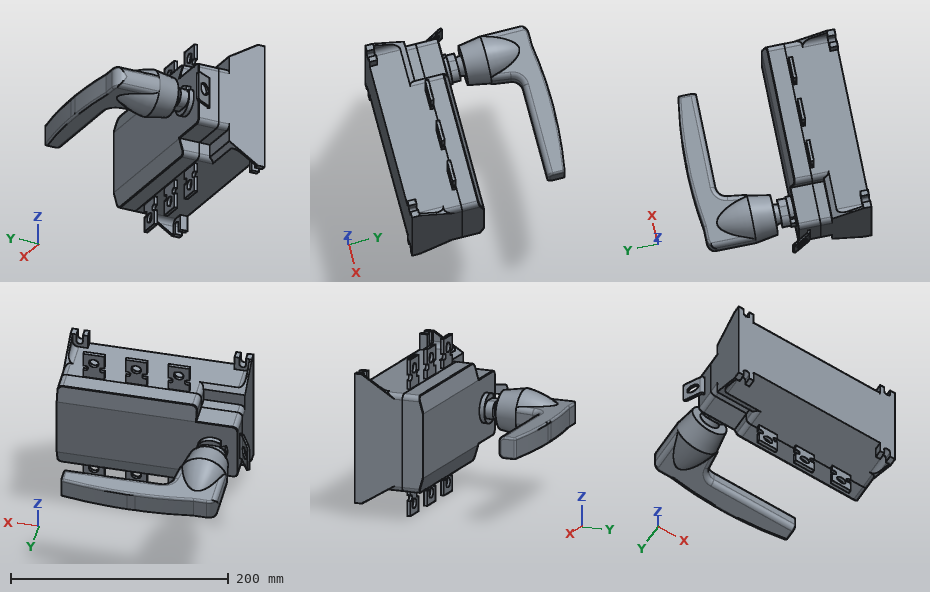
import cadquery as cq
import math


overall_length = 183.2
length = 170.5
half_length = length / 2
half_height = 46.5
split_y = 47.6
top_y = 68.5
corner_radius = 5.0

neck_length = 38.8
neck_half_height = 30.6
neck_x = -half_length + neck_length
shelf_y = 36.8

foot_half_height = 123.0 / 2
foot_length = 16.3
foot_thickness = 7.3
flare_slope = 0.62
end_wall = 2.0
end_wall_fillet = 5.5
flare_top_y = 44.0
slot_width = 6.0
slot_depth = 11.0
slot_inset = 8.6

bevel_height = 4.5
top_edge_chamfer = 0.5

terminal_width = 20.0
terminal_pitch = 40.0
middle_terminal_x = 14.8
terminal_half_span = 149.0 / 2
terminal_top_y = 46.9
terminal_thickness = 3.1
terminal_hole_diameter = 9.2
terminal_hole_z = 64.3
notch_width = 5.5
notch_depth = 4.4
notch_z = 57.3

tab_y = 57.7
tab_thickness = 2.0
tab_width = 29.0
tab_bend_angle = 61.0
tab_bend_radius = 5.0
tab_reach = overall_length - length
tab_corner_radius = 3.3
tab_hole_diameter = 11.7
tab_hole_from_bend = 7.1

axis_inset = 23.6
axis_x = -half_length + axis_inset
disc_radius = 28.4 / 2
disc_top_y = 73.3
disc_notch_x = 8.0
disc_notch_outer = (12.8, 6.5)
disc_notch_inner_z = 3.7
collar_top_y = 81.3
collar_radius = 8.6
collar_length = 26.2
shank_bottom_radius = 8.6
shank_top_radius = 10.0
hub_bottom_y = 86.8
hub_bottom_radius = 18.7
hub_y = 108.1
hub_radius = 22.4
dome_middle = (17.0, 127.2)
dome_end = (10.0, 140.7)
grip_half_thickness = 10.5
grip_shoulder_y = 152.5
grip_crown = (0.0, 156.7)
grip_end = (63.2, 151.0)
grip_underside_y = 134.5
grip_bend_radius = 10.0
leg_top_x = -35.7
inner_fillet = 5.1
outer_fillet = 2.0


def slab(outline, y_from, y_to):
    """Prism along Y from an outline drawn in the XZ plane."""
    plane = cq.Plane(origin=(0, y_from, 0), xDir=(1, 0, 0), normal=(0, -1, 0))
    return outline(cq.Workplane(plane)).extrude(y_from - y_to)


def box(x_from, x_to, y_from, y_to, z_half):
    """Block between two X and two Y positions, centred on Z = 0."""
    size = (x_to - x_from, y_to - y_from, 2 * z_half)
    centre = ((x_from + x_to) / 2, (y_from + y_to) / 2, 0)
    return cq.Workplane("XY").box(*size).translate(centre)


def wide_column(y_from, y_to):
    """Main block of the housing with rounded upright corners."""
    return box(neck_x, half_length, y_from, y_to, half_height).edges("|Y").fillet(corner_radius)


def neck_column(y_from, y_to):
    """Narrow end block, which runs far enough into the main block to merge with it."""
    neck = box(-half_length, neck_x + 2 * corner_radius, y_from, y_to, neck_half_height)
    return neck.edges("|Y and <X").fillet(corner_radius)


def flared_body():
    """Main block whose end walls spread out towards the mounting feet."""
    body = box(-half_length, half_length, 0, flare_top_y, half_height)
    walls = box(-half_length, half_length, 0, flare_top_y, foot_half_height)
    recess_half = half_length - end_wall
    for side in (1, -1):
        recess_height = 2 * foot_half_height
        recess = (
            cq.Workplane("XY")
            .box(2 * recess_half, 2 * flare_top_y, recess_height)
            .edges("|Y")
            .fillet(end_wall_fillet)
            .translate((0, 0, side * (half_height + recess_height / 2)))
        )
        walls = walls.cut(recess)
    top_half = foot_half_height - flare_slope * (flare_top_y - foot_thickness)
    flare = (
        cq.Workplane("YZ")
        .polyline([
            (0, -foot_half_height),
            (foot_thickness, -foot_half_height),
            (flare_top_y, -top_half),
            (flare_top_y, top_half),
            (foot_thickness, foot_half_height),
            (0, foot_half_height),
        ])
        .close()
        .extrude(half_length, both=True)
    )
    return body.union(walls).intersect(flare)


def foot_bar(end):
    """Bar whose tips form the two feet at one end of the base: end is -1 or 1."""
    return (
        cq.Workplane("XY")
        .box(foot_length, foot_thickness, 2 * foot_half_height)
        .translate((end * (half_length - foot_length / 2), foot_thickness / 2, 0))
    )


def foot_slots():
    """Open-ended mounting slots in the four feet."""
    def outlines(plane):
        centres = [
            (end * (half_length - slot_inset), side * foot_half_height)
            for end in (-1, 1)
            for side in (-1, 1)
        ]
        return plane.pushPoints(centres).slot2D(2 * slot_depth, slot_width, 90)

    return slab(outlines, 0, flare_top_y)


def terminal_strip(x):
    """Flat bar through the base, with a bolt hole and two edge notches at each end."""
    bottom_y = terminal_top_y - terminal_thickness
    strip = box(x - terminal_width / 2, x + terminal_width / 2, bottom_y, terminal_top_y, terminal_half_span)

    def bolt_holes(plane):
        centres = [(x, side * terminal_hole_z) for side in (-1, 1)]
        return plane.pushPoints(centres).circle(terminal_hole_diameter / 2)

    def notches(plane):
        centres = [
            (x + edge * terminal_width / 2, side * notch_z)
            for edge in (-1, 1)
            for side in (-1, 1)
        ]
        return plane.pushPoints(centres).slot2D(2 * notch_depth, notch_width)

    strip = strip.cut(slab(bolt_holes, bottom_y, terminal_top_y))
    return strip.cut(slab(notches, bottom_y, terminal_top_y))


def make_base():
    """Flared base with its feet and the three terminal strips."""
    shelf = box(-half_length, neck_x + corner_radius, shelf_y, flare_top_y, foot_half_height)
    base = flared_body().cut(shelf)
    column_y = shelf_y - 2 * corner_radius
    base = base.union(wide_column(column_y, split_y)).union(neck_column(column_y, split_y))
    for end in (-1, 1):
        base = base.union(foot_bar(end))
    base = base.cut(foot_slots())
    for step in (-1, 0, 1):
        base = base.union(terminal_strip(middle_terminal_x + step * terminal_pitch))
    return base


def below_top(edge):
    """False for the bend lines between the flat top and its bevels."""
    return edge.Center().y < top_y - top_edge_chamfer


def make_cover():
    """Bevelled cover with a small chamfer around its top edges."""
    bevel_y = top_y - bevel_height
    bevelled = (
        cq.Workplane("YZ")
        .polyline([
            (split_y, -half_height),
            (bevel_y, -half_height),
            (top_y, -neck_half_height),
            (top_y, neck_half_height),
            (bevel_y, half_height),
            (split_y, half_height),
        ])
        .close()
        .extrude(half_length, both=True)
    )
    wide = wide_column(split_y, top_y).intersect(bevelled)
    rim = wide.faces(">Y").edges("|Z")
    for side in (-1, 1):
        bevel_centre = (
            (neck_x + half_length) / 2,
            (bevel_y + top_y) / 2,
            side * (half_height + neck_half_height) / 2,
        )
        bevel = wide.faces(cq.selectors.NearestToPointSelector(bevel_centre))
        rim = rim.add(bevel.edges().filter(below_top))
    wide = rim.chamfer(top_edge_chamfer)
    neck = neck_column(split_y, top_y).faces(">Y").edges().chamfer(top_edge_chamfer)
    return wide.union(neck)


def make_tab():
    """Sheet that leaves the end wall, bends up and carries a padlock hole."""
    angle = math.radians(tab_bend_angle)
    inner_radius = tab_bend_radius - tab_thickness
    arm_length = (tab_reach - tab_bend_radius * math.sin(angle)) / math.cos(angle)
    wall_x = -half_length
    centre_y = tab_y + tab_bend_radius
    along = (-math.cos(angle), math.sin(angle))

    def on_bend(radius, turn):
        return (wall_x - radius * math.sin(turn), centre_y - radius * math.cos(turn))

    def arm_end(radius):
        start = on_bend(radius, angle)
        return (start[0] + arm_length * along[0], start[1] + arm_length * along[1])

    tab = (
        cq.Workplane("XY")
        .moveTo(*on_bend(tab_bend_radius, 0))
        .threePointArc(on_bend(tab_bend_radius, angle / 2), on_bend(tab_bend_radius, angle))
        .lineTo(*arm_end(tab_bend_radius))
        .lineTo(*arm_end(inner_radius))
        .lineTo(*on_bend(inner_radius, angle))
        .threePointArc(on_bend(inner_radius, angle / 2), on_bend(inner_radius, 0))
        .close()
        .extrude(tab_width / 2, both=True)
    )
    bend_end = on_bend(tab_bend_radius, angle)
    face = cq.Plane(
        origin=(bend_end[0], bend_end[1], 0),
        xDir=(along[0], along[1], 0),
        normal=(math.sin(angle), math.cos(angle), 0),
    )
    hole = (
        cq.Workplane(face)
        .center(tab_hole_from_bend, 0)
        .circle(tab_hole_diameter / 2)
        .extrude(tab_thickness)
    )
    corners = cq.selectors.ParallelDirSelector(face.zDir)
    tab = tab.edges(corners).fillet(tab_corner_radius)
    return tab.cut(hole)


def make_disc():
    """Stop disc with a V notch in its rim."""
    disc = slab(lambda plane: plane.center(axis_x, 0).circle(disc_radius), top_y, disc_top_y)

    def notch(plane):
        wall_x = axis_x - disc_notch_x
        outer_x = axis_x - disc_notch_outer[0]
        return plane.polyline([
            (wall_x, disc_notch_inner_z),
            (wall_x, disc_radius),
            (axis_x - disc_radius, disc_radius),
            (outer_x, disc_notch_outer[1]),
        ]).close()

    return disc.cut(slab(notch, top_y, disc_top_y))


def make_collar():
    """Round-ended collar along the lever direction."""
    def outline(plane):
        return plane.center(axis_x, 0).slot2D(collar_length, 2 * collar_radius)

    return slab(outline, disc_top_y, collar_top_y)


def make_hub():
    """Turned shank, cone and dome about the axis of rotation."""
    half_profile = (
        cq.Workplane("XY")
        .moveTo(0, collar_top_y)
        .lineTo(shank_bottom_radius, collar_top_y)
        .lineTo(shank_top_radius, hub_bottom_y)
        .lineTo(hub_bottom_radius, hub_bottom_y)
        .lineTo(hub_radius, hub_y)
        .threePointArc(dome_middle, dome_end)
        .lineTo(0, dome_end[1])
        .close()
    )
    return half_profile.revolve(360, (0, 0, 0), (0, 1, 0)).translate((axis_x, 0, 0))


def make_grip():
    """Bent lever whose back follows the hub radius."""
    back_x = axis_x - hub_radius
    leg_bottom_x = axis_x + hub_radius
    shoulder_x = (back_x + grip_bend_radius + axis_x) / 2
    grip = (
        cq.Workplane("XY")
        .moveTo(back_x, hub_y)
        .lineTo(back_x, grip_shoulder_y - grip_bend_radius)
        .radiusArc((back_x + grip_bend_radius, grip_shoulder_y), grip_bend_radius)
        .lineTo(axis_x, grip_shoulder_y)
        .threePointArc(grip_crown, grip_end)
        .lineTo(grip_end[0], grip_underside_y)
        .lineTo(leg_top_x, grip_underside_y)
        .lineTo(leg_bottom_x, hub_y)
        .close()
        .extrude(grip_half_thickness, both=True)
    )
    inner_corner = cq.selectors.NearestToPointSelector((leg_top_x, grip_underside_y, 0))
    grip = grip.edges("|Z").edges(inner_corner).fillet(grip_bend_radius)

    for z in (-grip_half_thickness, grip_half_thickness):
        lower_edge = cq.selectors.NearestToPointSelector((grip_crown[0], grip_underside_y, z))
        grip = grip.edges(lower_edge).fillet(inner_fillet)
    for z in (-grip_half_thickness, grip_half_thickness):
        upper_edge = cq.selectors.NearestToPointSelector((grip_crown[0], grip_crown[1], z))
        shoulder_edge = cq.selectors.NearestToPointSelector((shoulder_x, grip_shoulder_y, z))
        grip = grip.edges(upper_edge + shoulder_edge).fillet(outer_fillet)
    grip = grip.faces(">X").edges().fillet(outer_fillet)

    rounded_back = (
        slab(lambda plane: plane.center(axis_x, 0).circle(hub_radius), hub_y, grip_crown[1])
        .intersect(box(back_x, leg_bottom_x, hub_y, grip_crown[1], grip_half_thickness))
    )
    back_edges = cq.selectors.BoxSelector(
        (back_x, hub_y, -hub_radius), (axis_x, grip_crown[1], hub_radius)
    )
    rounded_back = rounded_back.edges("|Y").edges(back_edges).fillet(inner_fillet)
    arm = box(axis_x, grip_end[0], hub_y, grip_crown[1], grip_half_thickness)
    return grip.intersect(rounded_back.union(arm))


def make_handle():
    """Lever, hub, collar and stop disc as one rotating piece."""
    return make_disc().union(make_collar()).union(make_hub()).union(make_grip())


base = make_base()
cover = make_cover()
tab = make_tab()
handle = make_handle()

result = cq.Compound.makeCompound([base.val(), cover.val(), tab.val(), handle.val()])